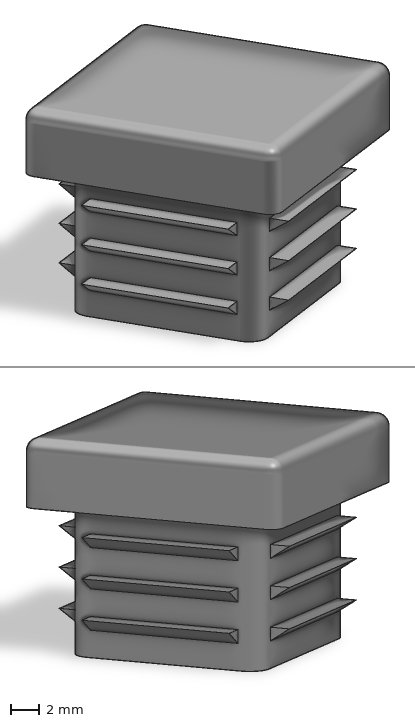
import cadquery as cq

total_height = 16.0
cap_width = 20.0
cap_height = 5.0
cap_edge_radius = 1.0

plug_width = 15.0
plug_corner_radius = 1.5
plug_height = total_height - cap_height

fin_length = 11.5
fin_reach = 1.5
fin_height = 1.0
fin_count = 3
fin_pitch = 3.0
fin_first_drop = 2.0
fin_embed = 0.5


def make_cap():
    """Square cap with rounded upright and top edges."""
    cap = cq.Workplane("XY").workplane(offset=plug_height).rect(cap_width, cap_width).extrude(cap_height)
    return cap.edges("|Z or >Z").fillet(cap_edge_radius)


def make_plug():
    """Square plug with rounded corners, standing on Z = 0."""
    plug = cq.Workplane("XY").rect(plug_width, plug_width).extrude(plug_height)
    return plug.edges("|Z").fillet(plug_corner_radius)


def make_fin(top_z):
    """Triangular fin on the +X side of the plug."""
    wall_x = plug_width / 2
    profile = [
        (wall_x - fin_embed, top_z),
        (wall_x + fin_reach, top_z),
        (wall_x, top_z - fin_height),
        (wall_x - fin_embed, top_z - fin_height),
    ]
    section_plane = cq.Workplane("XZ", origin=(0, fin_length / 2, 0))
    return section_plane.polyline(profile).close().extrude(fin_length)


def add_fins(body):
    """Stack the fins on all four sides of the plug."""
    for level in range(fin_count):
        fin = make_fin(plug_height - fin_first_drop - level * fin_pitch)
        for angle in (0, 90, 180, 270):
            body = body.union(fin.rotate((0, 0, 0), (0, 0, 1), angle))
    return body


result = add_fins(make_plug().union(make_cap()))